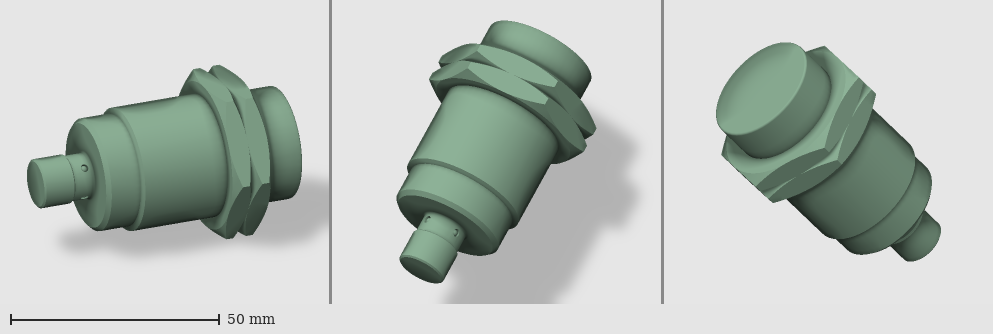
import cadquery as cq
import math

total_length = 63.5
thread_radius = 15.0
core_radius = 13.7
barrel_length = 50.5
thread_end = 42.0
thread_run_out = 0.7
sensing_edge_radius = 0.5
barrel_end_chamfer = 1.0

plug_radius = 6.0
neck_radius = 5.5
neck_fillet = 0.5
plug_chamfer = 0.4
plug_start = 55.5

window_diameter = 1.9
window_dome_depth = 0.1
window_count = 4
window_start_angle = 45.0
window_position = 52.45

nut_across_flats = 36.0
nut_thickness = 5.0
nut_count = 2
nut_start = 10.0
nut_chamfer_angle = 30.0
nut_sides = 6
nut_across_corners = nut_across_flats / math.cos(math.pi / nut_sides)


def revolve_about_y(outline):
    """Revolve a closed outline, drawn with X as the radius, about the Y axis."""
    return outline.close().revolve(360, (0, 0, 0), (0, 1, 0))


def make_housing_blank():
    """Stepped round housing with the threaded length, rear barrel, neck and plug."""
    barrel_end = -barrel_length
    plug_end = -total_length
    return revolve_about_y(
        cq.Workplane("XY")
        .lineTo(core_radius - sensing_edge_radius, 0)
        .radiusArc((core_radius, -sensing_edge_radius), sensing_edge_radius)
        .lineTo(core_radius, -nut_start)
        .lineTo(thread_radius, -nut_start)
        .lineTo(thread_radius, -thread_end + thread_run_out)
        .lineTo(core_radius, -thread_end)
        .lineTo(core_radius, barrel_end + barrel_end_chamfer)
        .lineTo(core_radius - barrel_end_chamfer, barrel_end)
        .lineTo(neck_radius + neck_fillet, barrel_end)
        .radiusArc((neck_radius, barrel_end - neck_fillet), -neck_fillet)
        .lineTo(neck_radius, -plug_start)
        .lineTo(plug_radius, -plug_start - plug_chamfer)
        .lineTo(plug_radius, plug_end + plug_chamfer)
        .lineTo(neck_radius, plug_end)
        .lineTo(0, plug_end)
    )


def make_window_cutter(angle):
    """Radial drilling into the neck whose floor bulges outward as a half sphere."""
    window_radius = window_diameter / 2
    dome_top = neck_radius - window_dome_depth
    cutter_top = neck_radius + window_radius
    cutter = revolve_about_y(
        cq.Workplane("XY")
        .moveTo(0, dome_top)
        .radiusArc((window_radius, dome_top - window_radius), window_radius)
        .lineTo(window_radius, cutter_top)
        .lineTo(0, cutter_top)
    )
    return (
        cutter
        .rotate((0, 0, 0), (1, 0, 0), 90)
        .translate((0, -window_position, 0))
        .rotate((0, 0, 0), (0, 1, 0), angle)
    )


def make_housing():
    """Housing with the ring of domed windows in its neck."""
    housing = make_housing_blank()
    for index in range(window_count):
        angle = window_start_angle + index * 360.0 / window_count
        housing = housing.cut(make_window_cutter(angle))
    return housing


def make_nut(start):
    """Hexagon nut, chamfered on both faces, whose first face is at the given distance."""
    hexagon = (
        cq.Workplane("XZ", origin=(0, -start, 0))
        .polygon(nut_sides, nut_across_corners)
        .circle(thread_radius)
        .extrude(nut_thickness)
    )
    face_radius = nut_across_flats / 2
    corner_radius = nut_across_corners / 2
    corner_drop = (corner_radius - face_radius) * math.tan(math.radians(nut_chamfer_angle))
    nut_end = start + nut_thickness
    chamfer_envelope = revolve_about_y(
        cq.Workplane("XY")
        .moveTo(0, -start)
        .lineTo(face_radius, -start)
        .lineTo(corner_radius, -start - corner_drop)
        .lineTo(corner_radius, -nut_end + corner_drop)
        .lineTo(face_radius, -nut_end)
        .lineTo(0, -nut_end)
    )
    return hexagon.intersect(chamfer_envelope)


housing = make_housing()
nuts = [make_nut(nut_start + index * nut_thickness) for index in range(nut_count)]

result = cq.Compound.makeCompound([housing.val(), *[nut.val() for nut in nuts]])